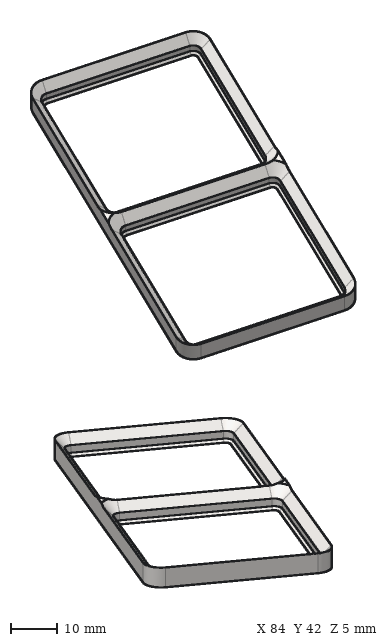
import cadquery as cq

cell_pitch = 42.0
cells_x = 2
frame_height = 5.0
corner_radius = 4.0

lower_flare = 0.7
straight_band = 1.8
upper_flare = 2.2
flare_angle = 45.0

rim_height = lower_flare + straight_band + upper_flare
peak_rise = frame_height - rim_height


def rounded_block(size_x, size_y, radius, height, bottom, flare=0.0):
    """Rounded rectangular block that widens upward by the flare angle."""
    outline = cq.Sketch().rect(size_x, size_y).vertices().fillet(radius)
    block = cq.Workplane("XY").workplane(offset=bottom).placeSketch(outline)
    return block.extrude(height, taper=-flare)


def socket_layer(inset, height, bottom, flare=0.0):
    """One layer of the socket, inset at its bottom from the cell border."""
    size = cell_pitch - 2 * inset
    return rounded_block(size, size, corner_radius - inset, height, bottom, flare)


def cell_socket():
    band_inset = upper_flare
    floor_inset = upper_flare + lower_flare
    band_top = lower_flare + straight_band
    lower = socket_layer(floor_inset, lower_flare, 0, flare_angle)
    band = socket_layer(band_inset, straight_band, lower_flare)
    upper = socket_layer(band_inset, upper_flare + peak_rise, band_top, flare_angle)
    return lower.union(band).union(upper)


frame = rounded_block(cells_x * cell_pitch, cell_pitch, corner_radius, frame_height, 0)
socket = cell_socket()
for column in range(cells_x):
    cell_center_x = (column - (cells_x - 1) / 2) * cell_pitch
    frame = frame.cut(socket.translate((cell_center_x, 0, 0)))

result = frame